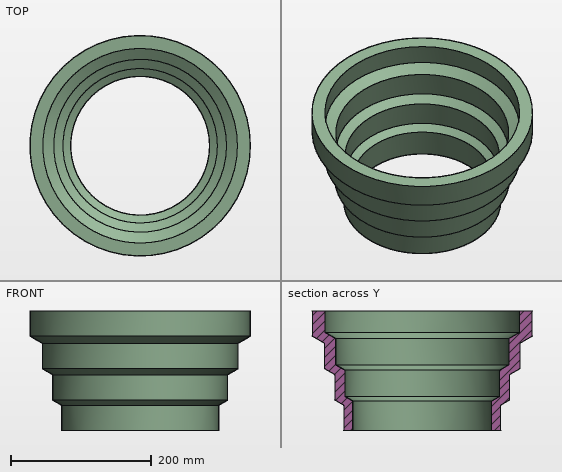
import cadquery as cq
import math

OUTER_DIAMETERS = [315.0, 280.0, 250.0, 225.0]
WALL_THICKNESSES = [18.5, 16.7, 14.8, 13.5]
HEIGHT = 171.0
CONE_SLOPE = math.tan(math.radians(30))

TOP_BORE_DEPTH = 30.5
MIDDLE_BORE_DEPTH = 37.5

outer_radii = [diameter / 2 for diameter in OUTER_DIAMETERS]
inner_radii = [radius - wall for radius, wall in zip(outer_radii, WALL_THICKNESSES)]

outer_cone_height = (outer_radii[0] - outer_radii[-1]) * CONE_SLOPE
outer_land = (HEIGHT - outer_cone_height) / len(outer_radii)


def stepped_solid(radii, land_heights):
    """Solid of cylinders joined by cones; the last cylinder runs down to Z = 0."""
    z = HEIGHT
    points = [(0, HEIGHT), (radii[0], HEIGHT)]
    for radius, next_radius, land in zip(radii, radii[1:], land_heights):
        z -= land
        points.append((radius, z))
        z -= (radius - next_radius) * CONE_SLOPE
        points.append((next_radius, z))
    points += [(radii[-1], 0), (0, 0)]
    return cq.Workplane("XZ").polyline(points).close().revolve(360, (0, 0), (0, 1))


cone_count = len(outer_radii) - 1
body = stepped_solid(outer_radii, [outer_land] * cone_count)
bore = stepped_solid(inner_radii, [TOP_BORE_DEPTH, MIDDLE_BORE_DEPTH, MIDDLE_BORE_DEPTH])
result = body.cut(bore)